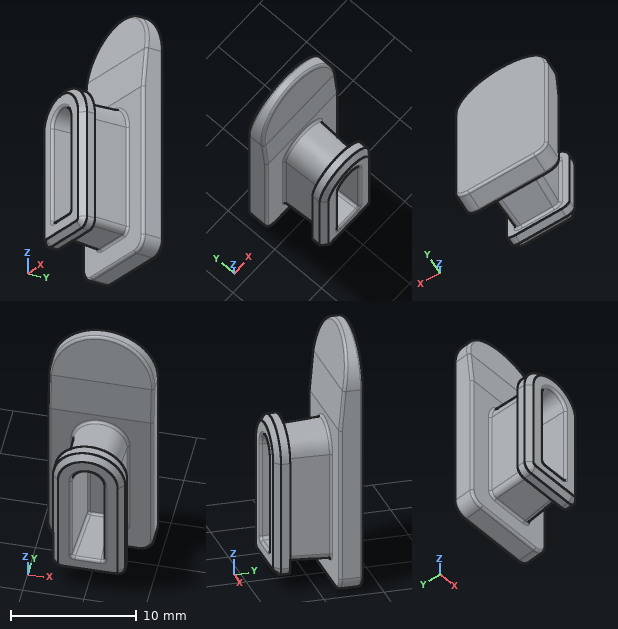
import cadquery as cq
import math

plate_width = 8.62
plate_height = 22.0
plate_thickness = 2.0
plate_corner_radius = 1.23
plate_edge_radius = 0.25
bend_height = 14.25
bend_setback = 0.3
tip_thickness = 1.01

arch_height = 11.33
head_radius = 2.95
head_bottom = 1.36
head_corner_radius = 0.8
head_thickness = 1.28
head_chamfer = 0.5
overall_depth = 6.97

neck_radius = 2.2
neck_bottom = 2.07
neck_corner_radius = 0.55
neck_taper = 2.5
neck_fillet = 0.22

pocket_radius = 1.32
pocket_bottom = 2.97
pocket_corner_radius = 0.26
pocket_floor_radius = 1.03
pocket_mouth_fillet = 0.25
pocket_floor_fillet = 0.2

selection_margin = 0.02

head_face = overall_depth - plate_thickness
neck_length = head_face - head_thickness
pocket_depth = head_face
pocket_taper = math.degrees(math.atan((pocket_radius - pocket_floor_radius) / pocket_depth))


def arch_prism(distance, radius, bottom, corner_radius, length, taper=0):
    """Arch that starts the given distance in front of the plate, with round lower corners."""
    prism = (
        cq.Workplane("XZ", origin=(0, -distance, 0))
        .moveTo(-radius, bottom)
        .lineTo(radius, bottom)
        .lineTo(radius, arch_height)
        .threePointArc((0, arch_height + radius), (-radius, arch_height))
        .close()
        .extrude(length, taper=taper)
    )
    lower_half = cq.selectors.BoxSelector(
        (-plate_width, -plate_height, 0), (plate_width, plate_height, arch_height / 2)
    )
    lower_corners = prism.edges(lower_half).edges("not(#Y)")
    return lower_corners.fillet(corner_radius)


def edges_at(distance, radius, bottom):
    """Select the edges at a distance in front of the plate that lie within the given arch."""
    return cq.selectors.BoxSelector(
        (-radius - selection_margin, -distance - selection_margin, bottom - selection_margin),
        (
            radius + selection_margin,
            -distance + selection_margin,
            arch_height + radius + selection_margin,
        ),
        boundingbox=True,
    )


def make_plate():
    half_width = plate_width / 2
    shoulder = plate_height - half_width
    outline = (
        cq.Workplane("XZ")
        .moveTo(-half_width, 0)
        .lineTo(half_width, 0)
        .lineTo(half_width, shoulder)
        .threePointArc((0, plate_height), (-half_width, shoulder))
        .close()
        .extrude(-plate_thickness)
        .edges("|Y and <Z")
        .fillet(plate_corner_radius)
    )
    side_profile = (
        cq.Workplane("YZ")
        .polyline([
            (0, 0),
            (plate_thickness, 0),
            (plate_thickness, plate_height),
            (plate_thickness - tip_thickness, plate_height),
            (bend_setback, shoulder),
            (0, bend_height),
        ])
        .close()
        .extrude(half_width, both=True)
    )
    plate = outline.intersect(side_profile)
    return plate.faces(">Y or <Y").edges().fillet(plate_edge_radius)


def make_neck():
    return arch_prism(0, neck_radius, neck_bottom, neck_corner_radius, neck_length, neck_taper)


def make_head():
    head = arch_prism(neck_length, head_radius, head_bottom, head_corner_radius, head_thickness)
    return head.faces("<Y").chamfer(head_chamfer)


def make_pocket():
    pocket = arch_prism(
        head_face, pocket_radius, pocket_bottom, pocket_corner_radius, -pocket_depth, pocket_taper
    )
    return pocket.faces(">Y").edges().fillet(pocket_floor_fillet)


result = make_plate().union(make_neck()).union(make_head())
result = result.edges(edges_at(0, neck_radius, neck_bottom)).fillet(neck_fillet)
result = result.edges(edges_at(neck_length, neck_radius, neck_bottom)).fillet(neck_fillet)
result = result.cut(make_pocket())
result = result.edges(edges_at(head_face, pocket_radius, pocket_bottom)).fillet(pocket_mouth_fillet)